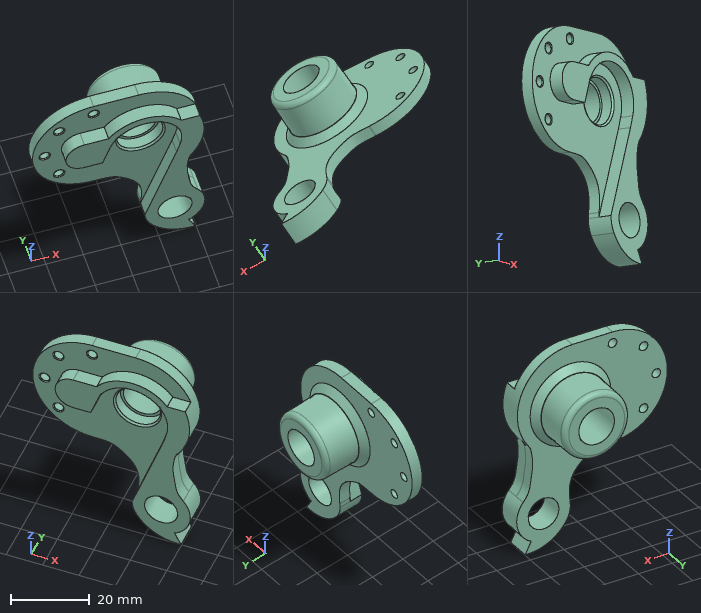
import cadquery as cq
import math


plate_thickness = 3.4
ridge_height = 3.8
total_depth = 20.0
boss_length = total_depth - plate_thickness - ridge_height

disc_radius = 16.3
disc_z = 1.2
left_disc_x = -12.45
right_disc_x = -0.5

foot_x = 8.0
foot_z = -30.0
foot_radius = 8.0
foot_hole_diameter = 9.04
hook_bottom_z = -40.57
hook_arc_start_angle = 212.5
hook_face_angle = -62.4
hook_tip_x = 13.51

neck_right_top_angle = -38.0
neck_right_bottom_angle = 40.5
neck_right_points = [(11.55, -11.2), (11.25, -14.2), (11.8, -19.0)]
neck_left_bottom_angle = 171.4
neck_left_points = [(-1.4, -20.1), (-5.25, -16.5)]

ridge_outer_radius = 12.1
pocket_radius = 9.8
pocket_left_wall_angle = 19.4
pocket_right_wall_angle = 16.9
pocket_right_bend_z = -6.0
tab_radius = 4.92
tab_x = -16.1
tab_z = 2.38
beyond_part = 60.0

boss_base_radius = 9.9
boss_tip_radius = 9.75
boss_tip_fillet = 1.5
cone_length = 2.0
cone_base_radius = 12.0
cone_top_radius = cone_base_radius - cone_length

bore_diameter = 10.53
counterbore_diameter = 12.2
counterbore_depth = 3.5
bore_chamfer = 0.5

small_hole_diameter = 2.53
small_hole_circle_radius = 13.0
small_hole_angles = (90, 135, 180, 225)
small_hole_chamfer = 0.25


def polar(center_x, center_z, radius, angle):
    """Point (X, Z) at an angle in degrees, measured from +X towards +Z."""
    turn = math.radians(angle)
    return (center_x + radius * math.cos(turn), center_z + radius * math.sin(turn))


def clockwise_tangent(angle):
    """Direction of clockwise travel at an angle on a circle."""
    return polar(0, 0, 1, angle - 90)


def front_sketch(y):
    """XZ workplane; positive extrusion runs towards -Y."""
    return cq.Workplane("XZ", origin=(0, y, 0))


def cylinder(x, z, diameter, y_start, y_end):
    """Cylinder along Y between two Y levels."""
    return front_sketch(y_end).center(x, z).circle(diameter / 2).extrude(y_end - y_start)


def outline(thickness, y):
    """Full outline of the plate, neck and foot, traced clockwise from the flat top edge."""

    def right_disc(angle):
        return polar(right_disc_x, disc_z, disc_radius, angle)

    def left_disc(angle):
        return polar(left_disc_x, disc_z, disc_radius, angle)

    def foot(angle):
        return polar(foot_x, foot_z, foot_radius, angle)

    hook_drop = foot_z - foot_radius - hook_bottom_z
    hook_growth = hook_drop / (1 + math.sin(math.radians(hook_arc_start_angle)))
    hook_radius = foot_radius + hook_growth
    hook_x, hook_z = polar(foot_x, foot_z, hook_growth, hook_arc_start_angle - 180)
    hook_tip_z = hook_z - math.sqrt(hook_radius**2 - (hook_tip_x - hook_x) ** 2)
    hook_middle = polar(hook_x, hook_z, hook_radius, (hook_arc_start_angle + 270) / 2)

    neck_left_end = (left_disc_x, disc_z - disc_radius)
    return (
        front_sketch(y)
        .moveTo(*left_disc(90))
        .lineTo(*right_disc(90))
        .threePointArc(right_disc(20), right_disc(neck_right_top_angle))
        .spline(
            neck_right_points + [foot(neck_right_bottom_angle)],
            tangents=[clockwise_tangent(neck_right_top_angle), clockwise_tangent(neck_right_bottom_angle)],
            includeCurrent=True,
        )
        .threePointArc(foot(0), foot(hook_face_angle))
        .lineTo(hook_tip_x, hook_tip_z)
        .threePointArc(hook_middle, foot(hook_arc_start_angle))
        .threePointArc(foot(195), foot(180))
        .lineTo(*foot(neck_left_bottom_angle))
        .spline(
            neck_left_points + [neck_left_end],
            tangents=[clockwise_tangent(neck_left_bottom_angle), (-1, 0)],
            includeCurrent=True,
        )
        .threePointArc(left_disc(180), left_disc(90))
        .close()
        .extrude(thickness)
    )


def ridge():
    """Raised band: tab on the left, arch over the bore and the leg down to the foot."""
    tab_top = tab_z + tab_radius
    tab_bottom = tab_z - tab_radius
    y_back = -plate_thickness

    below_tab_top = (
        front_sketch(y_back)
        .moveTo(tab_x, tab_top)
        .lineTo(beyond_part, tab_top)
        .lineTo(beyond_part, -beyond_part)
        .lineTo(0, -beyond_part)
        .lineTo(0, tab_bottom)
        .lineTo(tab_x, tab_bottom)
        .threePointArc((tab_x - tab_radius, tab_z), (tab_x, tab_top))
        .close()
        .extrude(ridge_height)
    )
    arch = (
        front_sketch(y_back)
        .moveTo(-ridge_outer_radius, 0)
        .threePointArc((0, ridge_outer_radius), (ridge_outer_radius, 0))
        .close()
        .extrude(ridge_height)
    )
    band = below_tab_top.union(arch)

    left_x, left_z = polar(0, 0, pocket_radius, 180 - pocket_left_wall_angle)
    left_end_x = left_x - (left_z - tab_bottom) * math.tan(math.radians(pocket_left_wall_angle))
    right_x, right_z = polar(0, 0, pocket_radius, -pocket_right_wall_angle)
    bend_run = (right_z - pocket_right_bend_z) * math.tan(math.radians(pocket_right_wall_angle))
    pocket = (
        front_sketch(y_back)
        .moveTo(left_x, left_z)
        .threePointArc((0, pocket_radius), (right_x, right_z))
        .lineTo(right_x - bend_run, pocket_right_bend_z)
        .lineTo(foot_x - foot_radius, foot_z)
        .lineTo(left_end_x, tab_bottom)
        .close()
        .extrude(ridge_height)
    )
    return band.cut(pocket).intersect(outline(ridge_height, y_back))


def boss():
    """Slightly tapered boss with a rounded tip and a conical foot, turned about the Y axis."""
    profile = (
        cq.Workplane("XY")
        .moveTo(0, 0)
        .lineTo(cone_base_radius, 0)
        .lineTo(cone_top_radius, cone_length)
        .lineTo(boss_base_radius, cone_length)
        .lineTo(boss_tip_radius, boss_length)
        .lineTo(0, boss_length)
        .close()
    )
    return profile.revolve(360, (0, 0, 0), (0, 1, 0)).faces(">Y").edges().fillet(boss_tip_fillet)


def chamfered_mouth(x, z, diameter, chamfer):
    """Cone that chamfers a hole at the front face of the plate."""
    return (
        cq.Workplane("XY", origin=(x, -plate_thickness, z))
        .lineTo(diameter / 2 + chamfer, 0)
        .lineTo(diameter / 2, chamfer)
        .lineTo(0, chamfer)
        .close()
        .revolve(360, (0, 0, 0), (0, 1, 0))
    )


def bore():
    """Through bore of the boss with a chamfered counterbore at the front of the plate."""
    through = cylinder(0, 0, bore_diameter, -plate_thickness, boss_length)
    counterbore = cylinder(0, 0, counterbore_diameter, -plate_thickness, counterbore_depth - plate_thickness)
    mouth = chamfered_mouth(0, 0, counterbore_diameter, bore_chamfer)
    return through.union(counterbore).union(mouth)


def small_hole(angle):
    """Chamfered through hole at an angle around the left disc."""
    x, z = polar(left_disc_x, disc_z, small_hole_circle_radius, angle)
    through = cylinder(x, z, small_hole_diameter, -plate_thickness, 0)
    return through.union(chamfered_mouth(x, z, small_hole_diameter, small_hole_chamfer))


result = outline(plate_thickness, 0).union(ridge()).union(boss())
result = result.cut(bore())
result = result.cut(cylinder(foot_x, foot_z, foot_hole_diameter, -plate_thickness - ridge_height, 0))
for hole_angle in small_hole_angles:
    result = result.cut(small_hole(hole_angle))